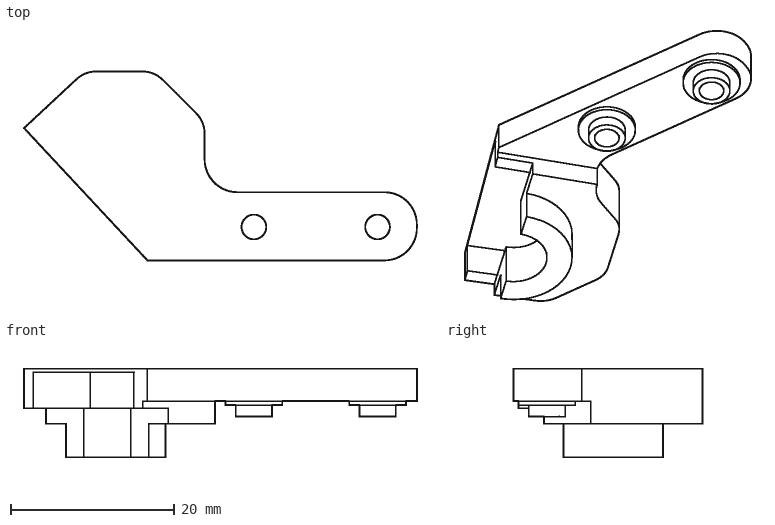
import cadquery as cq
import math

total_height = 10.9
roof_thickness = 0.45
arm_thickness = 4.0
washer_bottom = 4.5
pocket_floor = 4.9
pin_bottom = 5.9
housing_bottom = 6.8

center_x = 10.22
center_y = 11.22
strip_angle = 45
strip_half_width = 10.6
right_reach = 11.95
back_reach = 11.99
corner_reach = 12.56
housing_corner_radius = 3.5
wall = 1.65

trim_left_x = 0.0
trim_left_y = 16.25
trim_right_x = 15.15
arm_front_y = 0.0

boss_diameter = 14.35
bore_diameter = 8.2

arm_width = 8.4
arm_corner_radius = 4.0
arm_end_x = 48.21
inner_radius = 4.0
hole_xs = (28.2, 43.37)
hole_y = 4.12
hole_diameter = 3.0
pin_diameter = 4.5
washer_diameter = 7.0

reach = 2 * arm_end_x
front_overrun = 12.0
corner_tolerance = 0.1

root_two = math.sqrt(2)
right_x = center_x + right_reach
back_y = center_y + back_reach
center_sum = center_x + center_y
trim_length = math.hypot(trim_right_x - trim_left_x, trim_left_y - arm_front_y)
trim_across = (trim_right_x - trim_left_x) / trim_length
trim_down = (trim_left_y - arm_front_y) / trim_length
strip_line_shift = center_y - center_x - strip_half_width * root_two


def prism(points, top, bottom):
    """Vertical prism between two depths below the top face."""
    return cq.Workplane("XY").workplane(offset=-bottom).polyline(points).close().extrude(bottom - top)


def cylinder(x, y, diameter, top, bottom):
    """Vertical cylinder between two depths below the top face."""
    return cq.Workplane("XY", origin=(x, y, -bottom)).circle(diameter / 2).extrude(bottom - top)


def side_block(point, angle, top, bottom):
    """Block covering everything to the right of a line through a point at an angle."""
    return (
        cq.Workplane("XY")
        .box(2 * reach, reach, bottom - top, centered=(True, False, False))
        .translate((0, -reach, -bottom))
        .rotate((0, 0, 0), (0, 0, 1), angle)
        .translate(point)
    )


def housing_points(inset):
    """Housing outline moved inwards by an inset, with its open front end left overlong."""
    right = right_x - inset
    back = back_y - inset
    corner_sum = center_sum + (corner_reach - inset) * root_two
    strip_shift = strip_line_shift + inset * root_two
    left_x = trim_left_x + inset * trim_across
    left_y = trim_left_y - inset * trim_down
    left_run = (back - left_y) / trim_across
    open_x = left_x - front_overrun * trim_down
    open_y = left_y - front_overrun * trim_across
    return [
        (left_x + left_run * trim_down, back),
        (corner_sum - back, back),
        (right, corner_sum - right),
        (right, right + strip_shift),
        (open_x, open_x + strip_shift),
        (open_x, open_y),
    ]


def rounded_housing(bottom):
    """Housing block with its three back corners rounded."""
    points = housing_points(0)
    block = prism(points, 0, bottom)
    for x, y in points[:3]:
        corner = cq.selectors.BoxSelector(
            (x - corner_tolerance, y - corner_tolerance, -reach),
            (x + corner_tolerance, y + corner_tolerance, reach),
        )
        block = block.edges("|Z").edges(corner).fillet(housing_corner_radius)
    return block


def inner_web(bottom):
    """Concave web in the corner between the housing and the arm."""
    return (
        cq.Workplane("XY", origin=(0, 0, -bottom))
        .moveTo(right_x, arm_front_y)
        .lineTo(right_x, arm_width + inner_radius)
        .radiusArc((right_x + inner_radius, arm_width), -inner_radius)
        .lineTo(right_x + inner_radius, arm_front_y)
        .close()
        .extrude(bottom)
    )


def make_arm():
    """Arm plate with rounded end corners, overlapping the housing."""
    plate = prism(
        [(center_x, arm_front_y), (arm_end_x, arm_front_y), (arm_end_x, arm_width), (center_x, arm_width)],
        0,
        arm_thickness,
    )
    plate = plate.edges("|Z and >X").fillet(arm_corner_radius)
    return plate.union(inner_web(arm_thickness))


def make_housing():
    """Housing with the deep part behind the diagonal through the boss axis."""
    beside_strip = side_block((0, strip_line_shift, 0), strip_angle, 0, housing_bottom)
    web = inner_web(housing_bottom).cut(beside_strip)
    body = rounded_housing(housing_bottom).union(web)
    in_front = side_block((center_x, center_y, 0), -strip_angle, pocket_floor, total_height)
    boss = cylinder(center_x, center_y, boss_diameter, housing_bottom, total_height)
    return body.union(boss).cut(in_front)


def trim_front(body):
    """Remove everything in front of the slanted trim line."""
    trim_angle = -math.degrees(math.atan2(trim_down, trim_across))
    return body.cut(side_block((trim_left_x, trim_left_y, 0), trim_angle, 0, total_height))


def add_pin(body, x):
    """Hollow pin with a thin washer face under the arm."""
    body = body.union(cylinder(x, hole_y, washer_diameter, arm_thickness, washer_bottom))
    body = body.union(cylinder(x, hole_y, pin_diameter, arm_thickness, pin_bottom))
    return body.cut(cylinder(x, hole_y, hole_diameter, 0, pin_bottom))


def cut_pocket_and_bore(body):
    """Hollow the housing below its roof and bore down through the boss."""
    pocket = prism(housing_points(wall), roof_thickness, pocket_floor)
    bore = cylinder(center_x, center_y, bore_diameter, roof_thickness, total_height)
    return body.cut(pocket).cut(bore)


result = trim_front(make_housing().union(make_arm()))
result = cut_pocket_and_bore(result)
for hole_x in hole_xs:
    result = add_pin(result, hole_x)